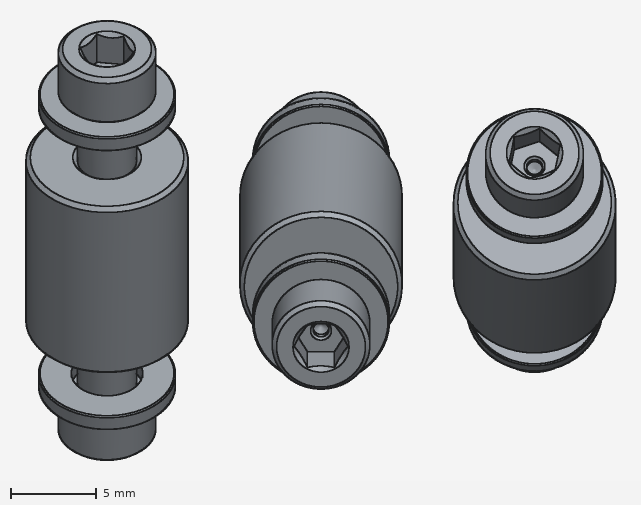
import cadquery as cq
import math

total_length = 29.1

body_diameter = 9.52
body_length = 12.63
body_chamfer = 0.25
mouth_diameter = 4.02

bevel_angle = math.radians(45)

shank_diameter = 3.45

washer_diameter = 8.03
washer_bore = 4.2
washer_thickness = 1.05
washer_chamfer = 0.1

head_diameter = 5.73
head_height = 3.43
head_chamfer = 0.25

socket_flats = 2.75
socket_mouth_diameter = 3.3
socket_depth = 2.2
recess_diameter = 0.93
recess_mouth_diameter = 1.22
recess_depth = 0.47
drill_tip_angle = math.radians(118)

end_z = total_length / 2
body_end_z = body_length / 2
head_base_z = end_z - head_height
washer_base_z = head_base_z - washer_thickness
socket_floor_z = end_z - socket_depth


def cylinder(diameter, base_z, height):
    return cq.Workplane("XY").workplane(offset=base_z).circle(diameter / 2).extrude(height)


def revolve_profile(points):
    """Revolve a closed (radius, z) outline about the Z axis."""
    return cq.Workplane("XZ").polyline(points).close().revolve(360, (0, 0, 0), (0, 1, 0))


def countersink(top_diameter, top_z, slope):
    """Cone that narrows downwards from top_z to a point; slope is its wall angle from horizontal."""
    radius = top_diameter / 2
    tip_z = top_z - radius * math.tan(slope)
    return revolve_profile([(0, top_z), (radius, top_z), (0, tip_z)])


def make_body():
    body = cylinder(body_diameter, -body_end_z, body_length).edges().chamfer(body_chamfer)
    mouth = countersink(mouth_diameter, body_end_z, bevel_angle)
    return body.cut(mouth).cut(mouth.mirror("XY"))


def make_washer():
    disc = cylinder(washer_diameter, washer_base_z, washer_thickness).edges().chamfer(washer_chamfer)
    return disc.cut(cylinder(washer_bore, washer_base_z, washer_thickness))


def make_socket():
    """Hexagon with two corners on the Y axis, bevelled at its mouth."""
    hex_corner_diameter = socket_flats / math.cos(math.pi / 6)
    hexagon = (
        cq.Workplane("XY")
        .workplane(offset=socket_floor_z)
        .transformed(rotate=(0, 0, 90))
        .polygon(6, hex_corner_diameter)
        .extrude(socket_depth)
    )
    return hexagon.union(countersink(socket_mouth_diameter, end_z, bevel_angle))


def make_recess():
    """Drilled hole with a bevelled mouth and a conical bottom."""
    radius = recess_diameter / 2
    mouth_radius = recess_mouth_diameter / 2
    bevel_z = socket_floor_z - (mouth_radius - radius) * math.tan(bevel_angle)
    bottom_z = socket_floor_z - recess_depth
    tip_z = bottom_z - radius / math.tan(drill_tip_angle / 2)
    return revolve_profile([
        (0, socket_floor_z),
        (mouth_radius, socket_floor_z),
        (radius, bevel_z),
        (radius, bottom_z),
        (0, tip_z),
    ])


def make_head():
    return cylinder(head_diameter, head_base_z, head_height).edges().chamfer(head_chamfer)


shank = cylinder(shank_diameter, -head_base_z, 2 * head_base_z)
fastener = make_head().union(make_washer())
drive = make_socket().union(make_recess())

result = make_body().union(shank)
result = result.union(fastener).union(fastener.mirror("XY"))
result = result.cut(drive).cut(drive.mirror("XY"))